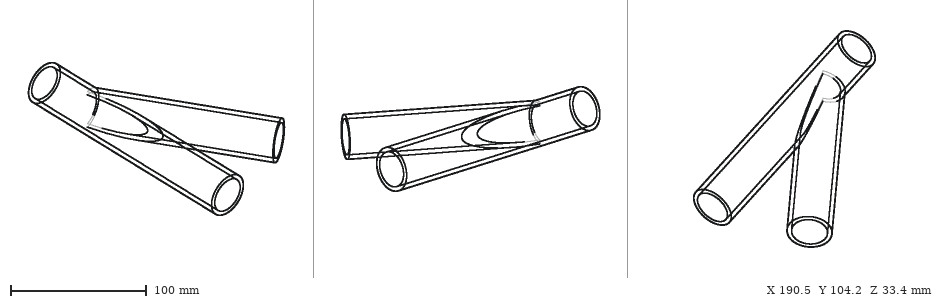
import cadquery as cq

outer_diameter = 33.4
bore_diameter = 26.64
run_length = 190.5
junction_distance = 44.45
branch_angle = 30.0

branch_length = run_length - junction_distance


def run_cylinder(diameter):
    """Cylinder along X for the straight run."""
    return cq.Workplane("YZ").circle(diameter / 2).extrude(run_length)


def branch_cylinder(diameter):
    """Cylinder from the junction, leaning from +X toward +Y."""
    junction = (junction_distance, 0, 0)
    along_x = cq.Workplane("YZ").circle(diameter / 2).extrude(branch_length)
    return along_x.rotate((0, 0, 0), (0, 0, 1), branch_angle).translate(junction)


def lateral(diameter):
    """Run and branch cylinders of one diameter joined into a Y shape."""
    return run_cylinder(diameter).union(branch_cylinder(diameter))


result = lateral(outer_diameter).cut(lateral(bore_diameter))